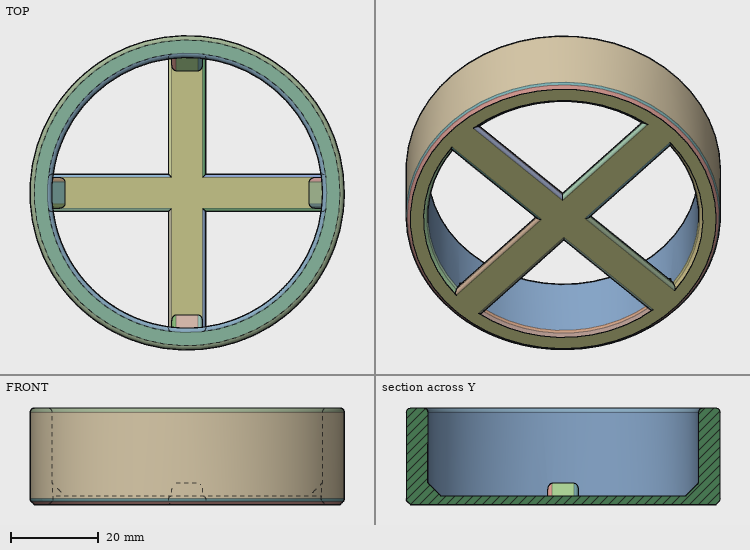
import cadquery as cq

OUTER_DIAMETER = 71.5
WALL_THICKNESS = 5.0
HEIGHT = 22.0
EDGE_RADIUS = 1.0
BOTTOM_CHAMFER = 1.0

ARM_WIDTH = 8.5
ARM_THICKNESS = 2.0
ARM_EDGE_RADIUS = 0.75

GUSSET_LENGTH = 3.0
GUSSET_HEIGHT = 3.0
GUSSET_EDGE_RADIUS = 1.0
ARM_COUNT = 4

outer_radius = OUTER_DIAMETER / 2
inner_radius = outer_radius - WALL_THICKNESS
middle_radius = outer_radius - WALL_THICKNESS / 2
gusset_width = ARM_WIDTH - 2 * ARM_EDGE_RADIUS


def make_ring():
    """Ring with rounded top edges and softened chamfers around both bottom edges."""
    ring = cq.Workplane("XY").circle(outer_radius).circle(inner_radius).extrude(HEIGHT)
    ring = ring.faces(">Z").edges().fillet(EDGE_RADIUS)
    ring = ring.faces("<Z").edges().chamfer(BOTTOM_CHAMFER)
    chamfer_tops = cq.selectors.BoxSelector(
        (-OUTER_DIAMETER, -OUTER_DIAMETER, BOTTOM_CHAMFER / 2),
        (OUTER_DIAMETER, OUTER_DIAMETER, HEIGHT / 2),
        boundingbox=True,
    )
    return ring.edges(chamfer_tops).fillet(EDGE_RADIUS)


def make_cross():
    """Two crossing arms, ending inside the ring wall, with rounded long edges."""
    arm = cq.Workplane("XY").box(
        2 * middle_radius, ARM_WIDTH, ARM_THICKNESS, centered=(True, True, False)
    )
    cross = arm.union(arm.rotate((0, 0, 0), (0, 0, 1), 90))
    return cross.faces("|Z").edges().fillet(ARM_EDGE_RADIUS)


def make_gusset():
    """Wedge on the +X arm, sloping up to the ring wall, with rounded slope edges."""
    toe_x = inner_radius - GUSSET_LENGTH
    rise = GUSSET_HEIGHT / GUSSET_LENGTH
    top_z = ARM_THICKNESS + rise * (middle_radius - toe_x)
    wedge = (
        cq.Workplane("XZ")
        .moveTo(toe_x, ARM_THICKNESS)
        .lineTo(middle_radius, ARM_THICKNESS)
        .lineTo(middle_radius, top_z)
        .close()
        .extrude(gusset_width / 2, both=True)
    )
    slope_edges = wedge.faces("|Y").edges("not(|X or |Z)")
    return slope_edges.fillet(GUSSET_EDGE_RADIUS)


result = make_ring().union(make_cross())
gusset = make_gusset()
for arm_index in range(ARM_COUNT):
    arm_angle = arm_index * 360 / ARM_COUNT
    result = result.union(gusset.rotate((0, 0, 0), (0, 0, 1), arm_angle))